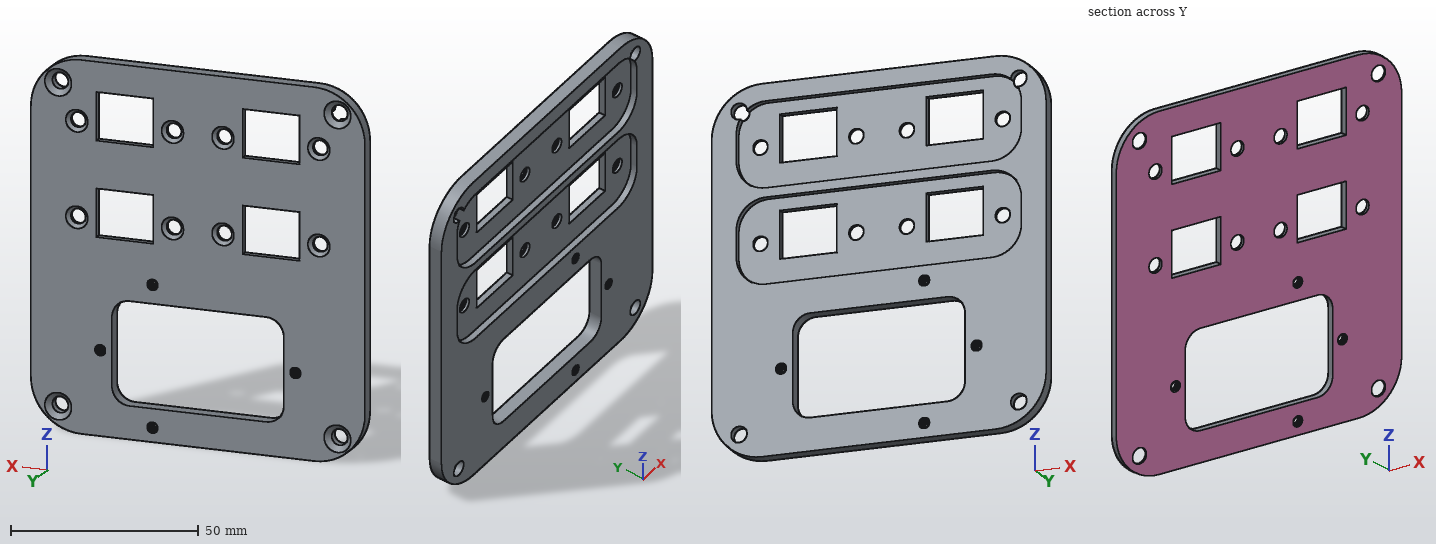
import cadquery as cq

WIDTH = 95.8
HEIGHT = 104.8
THICKNESS = 4.0
CORNER_RADIUS = 14.5

MOUNT_HOLE_DIAMETER = 4.5
MOUNT_HOLE_X = 40.0
MOUNT_HOLE_Z = 45.4
MOUNT_SINK_DEPTH = 1.6

BAY_WIDTH = 81.6
BAY_HEIGHT = 24.4
BAY_RADIUS = 8.5
BAY_DEPTH = THICKNESS / 2
UPPER_BAY_Z = 35.2
BAY_PITCH = 27.0
BAY_CENTERS_Z = (UPPER_BAY_Z, UPPER_BAY_Z - BAY_PITCH)

CONNECTOR_X = 21.0
WINDOW_WIDTH = 16.2
WINDOW_HEIGHT = 13.6
WINDOW_RISE = 1.9
CONNECTOR_HOLE_DIAMETER = 4.2
CONNECTOR_HOLE_OFFSET = 13.7
CONNECTOR_SINK_DEPTH = 1.0

DISPLAY_WIDTH = 49.3
DISPLAY_HEIGHT = 29.3
DISPLAY_RADIUS = 5.0
DISPLAY_Z = -28.3

THREAD_MINOR_DIAMETER = 2.4
THREAD_MAJOR_DIAMETER = 3.0
THREAD_TURNS = 8
THREAD_PITCH = THICKNESS / THREAD_TURNS
SIDE_SCREW_X = 28.0
OUTER_SCREW_X = 13.0
OUTER_SCREW_OFFSET_Z = 20.0

FRONT_Y = -THICKNESS / 2
BACK_Y = THICKNESS / 2


def front_plane():
    """Workplane on the front face: local x is X, local y is Z, normal is -Y."""
    return cq.Workplane("XZ", origin=(0, FRONT_Y, 0))


def block(width, height, depth, center=(0, 0)):
    """Rectangular solid reaching from the front face back into the plate."""
    return front_plane().center(*center).rect(width, height).extrude(-depth)


def rounded_block(width, height, radius, depth, center=(0, 0)):
    """Block with its four edges along Y rounded."""
    return block(width, height, depth, center).edges("|Y").fillet(radius)


def turned_cutter(profile, points):
    """Profile of (radius, y) corners turned about a Y axis, copied to each (x, z) point."""
    cutter = cq.Workplane("XY").polyline(profile).close().revolve(360, (0, 0), (0, 1))
    copies = [cutter.val().translate(cq.Vector(x, 0, z)) for x, z in points]
    return cq.Workplane(cq.Compound.makeCompound(copies))


def sunk_holes(diameter, sink_depth, points):
    """Through holes with a 90 degree countersink in the back face."""
    radius = diameter / 2
    profile = [
        (0, FRONT_Y),
        (radius, FRONT_Y),
        (radius, BACK_Y - sink_depth),
        (radius + sink_depth, BACK_Y),
        (0, BACK_Y),
    ]
    return turned_cutter(profile, points)


def connector_bay(center_z):
    """Cutter for one recessed bay with its windows and screw holes."""
    cutter = rounded_block(BAY_WIDTH, BAY_HEIGHT, BAY_RADIUS, BAY_DEPTH, (0, center_z))
    for x in (-CONNECTOR_X, CONNECTOR_X):
        window_center = (x, center_z + WINDOW_RISE)
        hole_points = [(x + side * CONNECTOR_HOLE_OFFSET, center_z) for side in (-1, 1)]
        cutter = cutter.union(block(WINDOW_WIDTH, WINDOW_HEIGHT, THICKNESS, window_center))
        cutter = cutter.union(sunk_holes(CONNECTOR_HOLE_DIAMETER, CONNECTOR_SINK_DEPTH, hole_points))
    return cutter


def threaded_holes(points):
    """Through holes with a sawtooth wall, one tooth per thread turn."""
    minor_radius = THREAD_MINOR_DIAMETER / 2
    major_radius = THREAD_MAJOR_DIAMETER / 2
    profile = [(0, FRONT_Y), (major_radius, FRONT_Y)]
    for turn in range(THREAD_TURNS):
        crest_y = FRONT_Y + (turn + 0.5) * THREAD_PITCH
        root_y = FRONT_Y + (turn + 1) * THREAD_PITCH
        profile += [(minor_radius, crest_y), (major_radius, root_y)]
    profile.append((0, BACK_Y))
    return turned_cutter(profile, points)


mount_points = [(x, z) for x in (-MOUNT_HOLE_X, MOUNT_HOLE_X) for z in (-MOUNT_HOLE_Z, MOUNT_HOLE_Z)]
screw_points = [
    (-SIDE_SCREW_X, DISPLAY_Z),
    (SIDE_SCREW_X, DISPLAY_Z),
    (OUTER_SCREW_X, DISPLAY_Z - OUTER_SCREW_OFFSET_Z),
    (OUTER_SCREW_X, DISPLAY_Z + OUTER_SCREW_OFFSET_Z),
]

result = rounded_block(WIDTH, HEIGHT, CORNER_RADIUS, THICKNESS)
for bay_z in BAY_CENTERS_Z:
    result = result.cut(connector_bay(bay_z))
result = result.cut(sunk_holes(MOUNT_HOLE_DIAMETER, MOUNT_SINK_DEPTH, mount_points))
result = result.cut(rounded_block(DISPLAY_WIDTH, DISPLAY_HEIGHT, DISPLAY_RADIUS, THICKNESS, (0, DISPLAY_Z)))
result = result.cut(threaded_holes(screw_points))